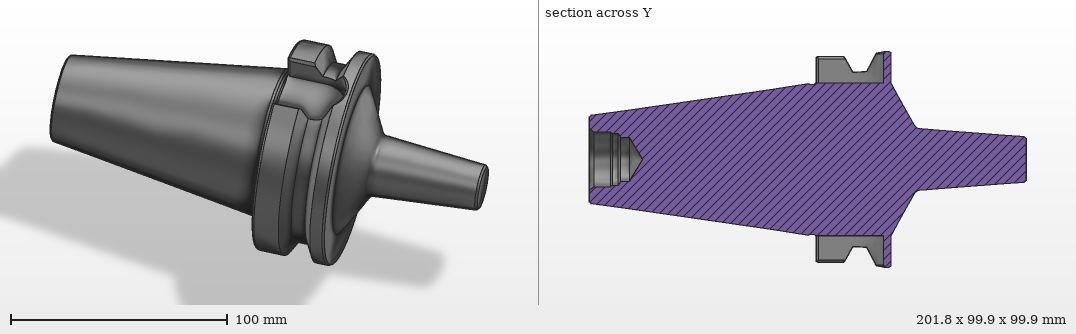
import cadquery as cq
import math

length = 201.8

shank_end_x = 101.1
shank_end_radius = 35.1
taper_slope = 7 / 48
shank_tip_radius = shank_end_radius - taper_slope * shank_end_x
shank_tip_chamfer = 0.8

neck_radius = 34.7
neck_bevel_length = 1.2
neck_fillet = 1.2

flange_start_x = 104.7
flange_end_x = 139.5
flange_radius = 99.9 / 2
front_collar_radius = 49.6
rim_bevel_length = 1.0
rim_bevel_depth = 0.6
groove_radius = 42.4
groove_mouth_start_x = 117.5
groove_floor_start_x = 121.7
groove_floor_end_x = 128.1
groove_mouth_end_x = 132.5

cone_base_radius = 35.3
cone_end_x = 150.1
cone_end_radius = 16.0
stem_start_x = 153.4
stem_start_radius = 14.3
stem_end_radius = 10.7
stem_chamfer = 1.0

slot_half_width = 13.0
slot_floor_z = 35.3
slot_end_x = 135.8
slot_chamfer = 1.2

bore_mouth_radius = 14.3
mouth_edge_depth = 0.6
lead_in_radius = 13.7
pilot_radius = 12.5
pilot_start_x = 2.2
pilot_end_x = 9.9
thread_radius = 12.0
thread_start_x = 10.7
thread_end_x = 13.3
drill_radius = 10.0
drill_start_x = 14.5
drill_end_x = 18.5
drill_point_angle = 118.0


def make_body():
    neck_x = shank_end_x + neck_bevel_length
    fillet_mid = neck_fillet * math.sqrt(0.5)
    return (
        cq.Workplane("XY")
        .moveTo(0, 0)
        .lineTo(0, shank_tip_radius - shank_tip_chamfer)
        .lineTo(shank_tip_chamfer, shank_tip_radius + taper_slope * shank_tip_chamfer)
        .lineTo(shank_end_x, shank_end_radius)
        .lineTo(neck_x, neck_radius)
        .lineTo(flange_start_x - neck_fillet, neck_radius)
        .threePointArc(
            (flange_start_x - neck_fillet + fillet_mid, neck_radius + neck_fillet - fillet_mid),
            (flange_start_x, neck_radius + neck_fillet),
        )
        .lineTo(flange_start_x, front_collar_radius - rim_bevel_depth)
        .lineTo(flange_start_x + rim_bevel_length, front_collar_radius)
        .lineTo(groove_mouth_start_x, front_collar_radius)
        .lineTo(groove_floor_start_x, groove_radius)
        .lineTo(groove_floor_end_x, groove_radius)
        .lineTo(groove_mouth_end_x, flange_radius)
        .lineTo(flange_end_x - rim_bevel_length, flange_radius)
        .lineTo(flange_end_x, flange_radius - rim_bevel_depth)
        .lineTo(flange_end_x, cone_base_radius)
        .lineTo(cone_end_x, cone_end_radius)
        .tangentArcPoint((stem_start_x, stem_start_radius), relative=False)
        .lineTo(length - stem_chamfer, stem_end_radius)
        .lineTo(length, stem_end_radius - stem_chamfer)
        .lineTo(length, 0)
        .close()
        .revolve(360, (0, 0, 0), (1, 0, 0))
    )


def make_bore():
    point_length = drill_radius / math.tan(math.radians(drill_point_angle / 2))
    return (
        cq.Workplane("XY")
        .polyline([
            (0, 0),
            (0, bore_mouth_radius),
            (mouth_edge_depth, lead_in_radius),
            (pilot_start_x, pilot_radius),
            (pilot_end_x, pilot_radius),
            (thread_start_x, thread_radius),
            (thread_end_x, thread_radius),
            (drill_start_x, drill_radius),
            (drill_end_x, drill_radius),
            (drill_end_x + point_length, 0),
        ])
        .close()
        .revolve(360, (0, 0, 0), (1, 0, 0))
    )


def make_slot():
    """Round-ended drive slot on the +Z side, open toward the shank."""
    arc_center_x = slot_end_x - slot_half_width
    open_end_x = shank_end_x
    return (
        cq.Workplane("XY", origin=(0, 0, slot_floor_z))
        .moveTo(open_end_x, -slot_half_width)
        .lineTo(arc_center_x, -slot_half_width)
        .threePointArc((slot_end_x, 0), (arc_center_x, slot_half_width))
        .lineTo(open_end_x, slot_half_width)
        .close()
        .extrude(flange_radius)
    )


def make_slot_bevels():
    """Bevels on the slot's entry corners, outer straight edges and round end."""
    mouth_half_width = slot_half_width + slot_chamfer
    entry = (
        cq.Workplane("XY", origin=(0, 0, slot_floor_z))
        .polyline([
            (flange_start_x, -mouth_half_width),
            (flange_start_x + slot_chamfer, -slot_half_width),
            (flange_start_x + slot_chamfer, slot_half_width),
            (flange_start_x, mouth_half_width),
        ])
        .close()
        .extrude(flange_radius)
    )
    edge_z = math.sqrt(front_collar_radius**2 - mouth_half_width**2)
    sides = (
        cq.Workplane("YZ", origin=(flange_start_x, 0, 0))
        .polyline([
            (-slot_half_width, edge_z - slot_chamfer),
            (slot_half_width, edge_z - slot_chamfer),
            (mouth_half_width, edge_z),
            (mouth_half_width, flange_radius),
            (-mouth_half_width, flange_radius),
            (-mouth_half_width, edge_z),
        ])
        .close()
        .extrude(groove_floor_start_x - flange_start_x)
    )
    round_end = cq.Workplane(cq.Solid.makeCone(
        slot_half_width,
        mouth_half_width,
        slot_chamfer,
        pnt=cq.Vector(slot_end_x - slot_half_width, 0, flange_radius - slot_chamfer),
    ))
    return entry.union(sides).union(round_end)


drive_slot = make_slot().union(make_slot_bevels())
result = make_body().cut(make_bore())
for side_angle in (0, 180):
    result = result.cut(drive_slot.rotate((0, 0, 0), (1, 0, 0), side_angle))